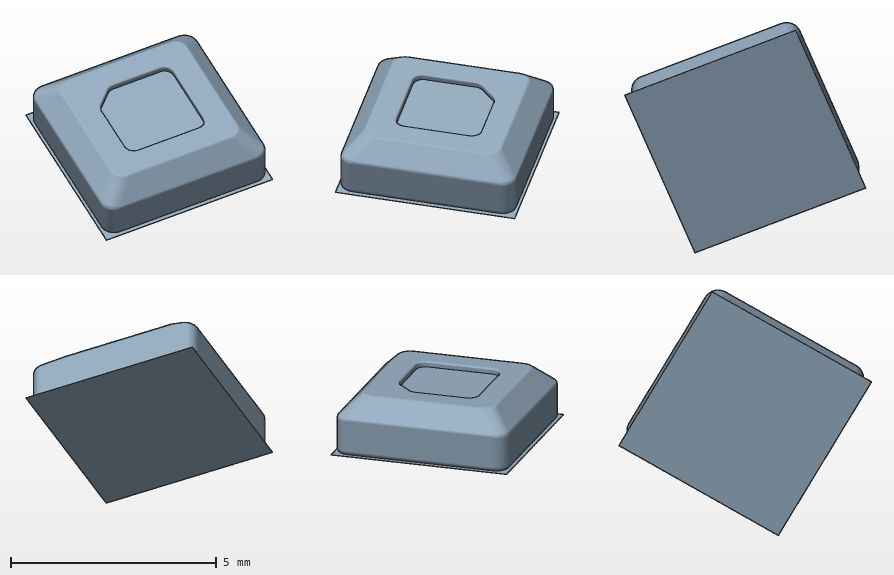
import cadquery as cq
import math


base_side = 4.5
base_thickness = 0.005
overall_height = 1.43

housing_side = 4.4
housing_corner_radius = 0.35
bevel = 0.5
bevel_angle = 45
edge_round = 0.11
slanted_edge_radius = housing_corner_radius * math.sqrt(2)
shoulder_z = overall_height - bevel

selection_margin = 0.022

recess_side = 2.225
recess_corner_cut = 0.5
recess_wall_radius = 0.25
recess_depth = 0.135
recess_rim_round = 0.05


def make_base_sheet():
    """Thin square sheet that the housing stands on."""
    return cq.Workplane("XY").rect(base_side, base_side).extrude(base_thickness)


def make_housing_block():
    """Upright block with rounded corners, topped by a 45 degree pyramid whose slanted edges are rounded."""
    height = overall_height - base_thickness
    pyramid_base_side = housing_side + 2 * (shoulder_z - base_thickness)
    bottom = cq.Workplane("XY", origin=(0, 0, base_thickness))
    prism = (
        bottom.rect(housing_side, housing_side)
        .extrude(height)
        .edges("|Z").fillet(housing_corner_radius)
    )
    pyramid = (
        bottom.rect(pyramid_base_side, pyramid_base_side)
        .extrude(height, taper=bevel_angle)
        .edges("not #Z").fillet(slanted_edge_radius)
    )
    return prism.intersect(pyramid)


def round_housing_edges(block):
    """Round the bottom edge, the shoulder and the top edge."""
    at_shoulder = cq.selectors.BoxSelector(
        (-base_side, -base_side, shoulder_z - selection_margin),
        (base_side, base_side, shoulder_z + selection_margin),
    )
    return (
        block.faces("<Z").edges().fillet(edge_round)
        .edges(at_shoulder).fillet(edge_round)
        .faces(">Z").edges().fillet(edge_round)
    )


def cut_recess(block):
    """Sink a square recess with its -X -Y corner cut off and a rounded rim."""
    half = recess_side / 2
    wall = half - recess_rim_round
    cut = -wall + recess_corner_cut
    outline = [(cut, -wall), (wall, -wall), (wall, wall), (-wall, wall), (-wall, cut)]
    cutter = (
        cq.Workplane("XY", origin=(0, 0, overall_height - recess_depth))
        .polyline(outline).close()
        .extrude(recess_depth)
        .edges("|Z").fillet(recess_wall_radius)
    )
    at_rim = cq.selectors.BoxSelector(
        (-half, -half, overall_height - selection_margin),
        (half, half, overall_height + selection_margin),
    )
    return block.cut(cutter).edges(at_rim).fillet(recess_rim_round)


base_sheet = make_base_sheet()
housing = cut_recess(round_housing_edges(make_housing_block()))

result = cq.Compound.makeCompound([base_sheet.val(), housing.val()])